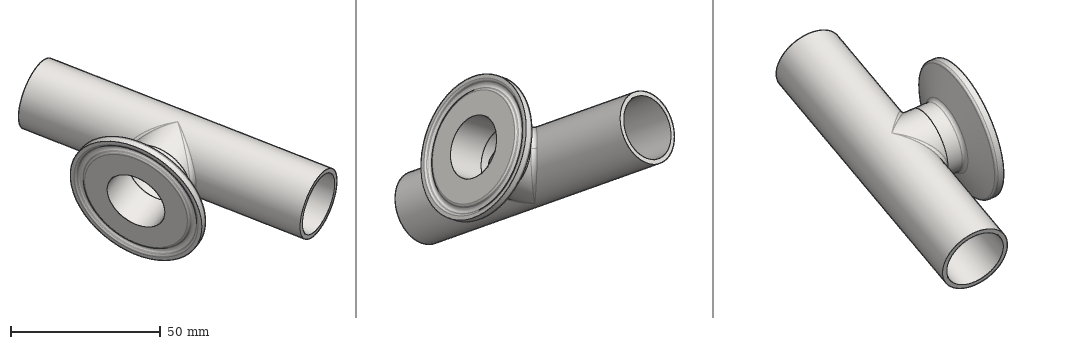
import cadquery as cq
import math

tube_outer_radius = 25.4 / 2
tube_bore_radius = 22.1 / 2
run_length = 108.0
crotch_fillet = 1.5

face_distance = 28.6
joint_distance = face_distance / 2

flange_radius = 50.5 / 2
rim_corner_height = 3.0
cone_angle = math.radians(20)
rim_fillet = 1.0
neck_fillet = 1.65

groove_radius = 43.5 / 2
groove_half_width = 2.05
groove_bottom_radius = 1.2
groove_lip_radius = 0.95
groove_wall_angle = math.radians(60)


def branch_cylinder(radius, length):
    """Cylinder from the run axis along -Y."""
    return cq.Workplane("XZ").circle(radius).extrude(length)


def run_cylinder(radius):
    """Cylinder centred on the X axis."""
    return cq.Workplane("YZ").circle(radius).extrude(run_length / 2, both=True)


def make_tee():
    """Run tube with a short branch, blended where they meet and bored through."""
    outside = run_cylinder(tube_outer_radius).union(branch_cylinder(tube_outer_radius, joint_distance))
    outside = outside.edges("%ELLIPSE").fillet(crotch_fillet)
    bores = run_cylinder(tube_bore_radius).union(branch_cylinder(tube_bore_radius, joint_distance))
    return outside.cut(bores)


def make_groove():
    """Ring that cuts the groove, revolved about the branch axis."""

    def sideways(radius, angle):
        return radius * math.sin(angle)

    def drop(radius, angle):
        return radius * (1 - math.cos(angle))

    half_angle = groove_wall_angle / 2
    wall_top_offset = groove_half_width - sideways(groove_lip_radius, groove_wall_angle)
    wall_top_depth = drop(groove_lip_radius, groove_wall_angle)
    wall_foot_offset = sideways(groove_bottom_radius, groove_wall_angle)
    wall_height = (wall_top_offset - wall_foot_offset) * math.tan(groove_wall_angle)
    wall_foot_depth = wall_top_depth + wall_height
    groove_depth = wall_foot_depth + drop(groove_bottom_radius, groove_wall_angle)
    lip_mid_offset = groove_half_width - sideways(groove_lip_radius, half_angle)
    lip_mid_depth = drop(groove_lip_radius, half_angle)

    def point(offset, depth):
        return (groove_radius + offset, depth - face_distance)

    return (
        cq.Workplane("XY")
        .moveTo(*point(-groove_half_width, 0))
        .threePointArc(point(-lip_mid_offset, lip_mid_depth), point(-wall_top_offset, wall_top_depth))
        .lineTo(*point(-wall_foot_offset, wall_foot_depth))
        .threePointArc(point(0, groove_depth), point(wall_foot_offset, wall_foot_depth))
        .lineTo(*point(wall_top_offset, wall_top_depth))
        .threePointArc(point(lip_mid_offset, lip_mid_depth), point(groove_half_width, 0))
        .close()
        .revolve(360, (0, 0, 0), (0, 1, 0))
    )


def edge_at(y):
    """Selector for the circular edges that lie at one place along the branch."""
    tolerance = 0.05
    reach = 2 * flange_radius
    return cq.selectors.BoxSelector(
        (-reach, y - tolerance, -reach), (reach, y + tolerance, reach), boundingbox=True
    )


def make_ferrule():
    """Neck tube that widens through a cone into the grooved clamp flange."""
    rim_corner_y = rim_corner_height - face_distance
    neck_corner_y = rim_corner_y + (flange_radius - tube_outer_radius) * math.tan(cone_angle)
    blank = (
        cq.Workplane("XY")
        .moveTo(tube_bore_radius, -face_distance)
        .lineTo(flange_radius, -face_distance)
        .lineTo(flange_radius, rim_corner_y)
        .lineTo(tube_outer_radius, neck_corner_y)
        .lineTo(tube_outer_radius, -joint_distance)
        .lineTo(tube_bore_radius, -joint_distance)
        .close()
        .revolve(360, (0, 0, 0), (0, 1, 0))
    )
    blank = blank.edges(edge_at(rim_corner_y)).fillet(rim_fillet)
    blank = blank.edges(edge_at(neck_corner_y)).fillet(neck_fillet)
    return blank.cut(make_groove())


tee = make_tee()
ferrule = make_ferrule()

result = cq.Compound.makeCompound([tee.val(), ferrule.val()])